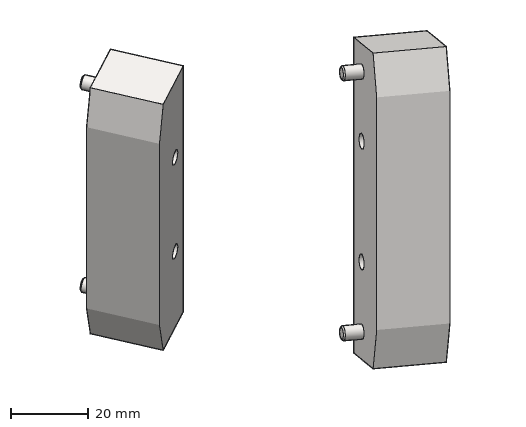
import cadquery as cq
import math

block_width = 20.0
block_depth = 19.0
block_height = 85.0

slope_depth = 3.0
slope_angle = 15.0
slope_height = slope_depth / math.tan(math.radians(slope_angle))

row_y = block_depth - 6.5
pin_diameter = 4.0
pin_length = 5.5
pin_chamfer = 0.4
pin_spacing = 70.0
hole_diameter = 4.1
hole_spacing = 32.5


def make_block():
    """Bar with a back face at +Y and a front face sloped back at both ends."""
    profile = [
        (block_depth, -block_height / 2),
        (block_depth, block_height / 2),
        (slope_depth, block_height / 2),
        (0, block_height / 2 - slope_height),
        (0, -block_height / 2 + slope_height),
        (slope_depth, -block_height / 2),
    ]
    return cq.Workplane("YZ").polyline(profile).close().extrude(block_width)


def row_pair(spacing):
    """Plane on the -X face with two points on the row, symmetric about mid-height."""
    points = [(row_y, -spacing / 2), (row_y, spacing / 2)]
    return cq.Workplane("YZ").pushPoints(points)


def make_pins():
    """Locating pins standing out of the -X face, chamfered at the tip."""
    pins = row_pair(pin_spacing).circle(pin_diameter / 2).extrude(-pin_length)
    return pins.faces("<X").chamfer(pin_chamfer)


def make_holes():
    """Cutters for the plain holes through the full width of the block."""
    return row_pair(hole_spacing).circle(hole_diameter / 2).extrude(block_width)


result = make_block().union(make_pins()).cut(make_holes())